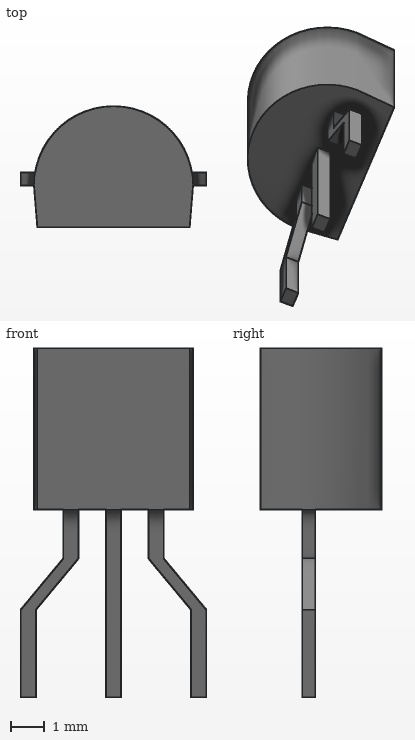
import cadquery as cq

body_radius = 2.375
body_height = 4.81
front_depth = 1.245
front_taper = 0.1

lead_pitch = 1.27
spread_pitch = 2 * lead_pitch
lead_width = 0.46
lead_thickness = 0.4
lead_length = 5.6
bend_start_depth = 1.46
bend_end_depth = 2.99
lead_embed = 0.5


def make_body():
    front_half_width = body_radius - front_taper
    return (
        cq.Workplane("XY")
        .moveTo(-body_radius, 0)
        .threePointArc((0, body_radius), (body_radius, 0))
        .lineTo(front_half_width, -front_depth)
        .lineTo(-front_half_width, -front_depth)
        .close()
        .extrude(body_height)
    )


def make_lead(side):
    """Lead on the given side: -1 left, 0 centre (straight), 1 right."""
    top_x = side * lead_pitch
    bottom_x = side * spread_pitch
    centre_line = [(top_x, lead_embed)]
    if side != 0:
        centre_line += [(top_x, -bend_start_depth), (bottom_x, -bend_end_depth)]
    centre_line.append((bottom_x, -lead_length))

    left_edge = [(x - lead_width / 2, z) for x, z in centre_line]
    right_edge = [(x + lead_width / 2, z) for x, z in centre_line]
    return (
        cq.Workplane("XZ")
        .polyline(left_edge + right_edge[::-1])
        .close()
        .extrude(-lead_thickness)
    )


result = make_body()
for side in (-1, 0, 1):
    result = result.union(make_lead(side))